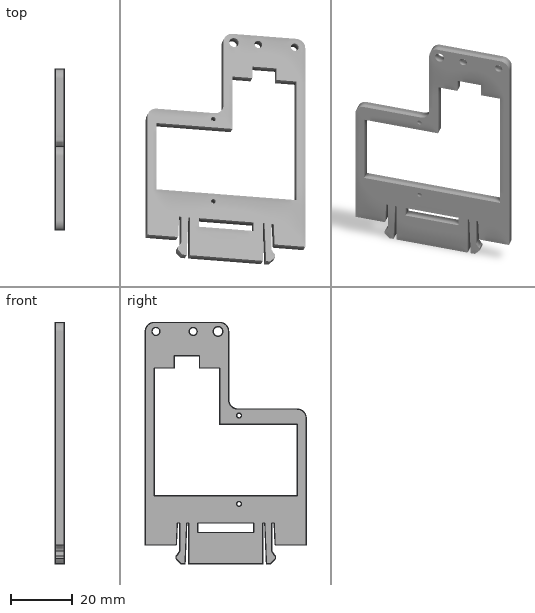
import cadquery as cq

thickness = 3.0
width = 52.0
height = 78.0
half_width = width / 2
frame_wall = 3.0
corner_radius = 3.0

plate_bottom = 6.0
shoulder_z = height - 28.0
tower_width = 27.0
tower_y = tower_width - half_width

window_bottom = 22.0
window_top = height - 14.8
window_shoulder_z = height - 33.0
notch_y = -12.55
notch_width = 8.0
notch_top = height - 10.85

top_hole_z = height - 3.0
large_hole_y = -2.5
large_hole_diameter = 3.05
medium_hole_diameter = 2.5
medium_hole_positions = (-10.5, -22.55)
small_hole_y = 4.3
small_hole_diameter = 1.5
small_hole_heights = (19.35, 47.9)

slot_top = 13.1
tongue_half_width = 12.0
latch_inner_top = 12.55
latch_inner_bottom = 13.1
latch_outer = 14.9
clearance_top = 15.6
clearance_bottom = 15.9
clearance_chamfer = 0.2
barb_tip = 16.1
barb_shoulder_y = 15.6
barb_shoulder_z = 3.0
barb_shoulder_top = 4.1
barb_upper_z = 2.5
barb_lower_z = 1.6
barb_toe = 14.5
tongue_window_width = 18.0
tongue_window_height = 3.0


def extrude(sketch):
    """Extrude a YZ outline through the thickness, centred on X = 0."""
    return sketch.extrude(thickness / 2, both=True)


def prism(points):
    return extrude(cq.Workplane("YZ").polyline(points).close())


def box(y_min, y_max, z_min, z_max):
    return prism([(y_min, z_min), (y_max, z_min), (y_max, z_max), (y_min, z_max)])


def hole(y, z, diameter):
    return extrude(cq.Workplane("YZ").center(y, z).circle(diameter / 2))


def make_plate():
    plate = prism([
        (-half_width, plate_bottom),
        (half_width, plate_bottom),
        (half_width, shoulder_z),
        (tower_y, shoulder_z),
        (tower_y, height),
        (-half_width, height),
    ])
    rounded_corners = cq.selectors.BoxSelector(
        (-thickness, -width, window_shoulder_z), (thickness, width, 2 * height)
    )
    return plate.edges("|X").edges(rounded_corners).fillet(corner_radius)


def make_window():
    window_right = frame_wall - half_width
    step_y = tower_y - frame_wall
    lower = box(window_right, half_width - frame_wall, window_bottom, window_shoulder_z)
    upper = box(window_right, step_y, window_bottom, window_top)
    half_notch = notch_width / 2
    notch = box(notch_y - half_notch, notch_y + half_notch, window_bottom, notch_top)
    return lower.union(upper).union(notch)


def make_latch_opening():
    """Full opening between the tongue and the plate beside it, on the +Y side."""
    return prism([
        (tongue_half_width, plate_bottom),
        (tongue_half_width, slot_top),
        (clearance_top, slot_top),
        (clearance_bottom, plate_bottom + clearance_chamfer),
        (clearance_bottom + clearance_chamfer, plate_bottom),
    ])


def make_latch():
    """Tapered spring arm with a two-slope shoulder above its barb, on the +Y side."""
    return extrude(
        cq.Workplane("YZ")
        .moveTo(latch_inner_top, slot_top)
        .lineTo(latch_outer, slot_top)
        .lineTo(latch_outer, barb_shoulder_top)
        .lineTo(barb_shoulder_y, barb_shoulder_z)
        .lineTo(barb_tip, barb_upper_z)
        .lineTo(barb_tip, barb_lower_z)
        .lineTo(barb_toe, 0)
        .lineTo(latch_inner_bottom, 0)
        .close()
    )


result = make_plate().cut(make_window())

result = result.union(box(-tongue_half_width, tongue_half_width, 0, slot_top))
opening = make_latch_opening()
latch = make_latch()
for cutter in (opening, opening.mirror("XZ")):
    result = result.cut(cutter)
for arm in (latch, latch.mirror("XZ")):
    result = result.union(arm)

half_slot = tongue_window_width / 2
result = result.cut(box(-half_slot, half_slot, slot_top - tongue_window_height, slot_top))

result = result.cut(hole(large_hole_y, top_hole_z, large_hole_diameter))
for y in medium_hole_positions:
    result = result.cut(hole(y, top_hole_z, medium_hole_diameter))
for z in small_hole_heights:
    result = result.cut(hole(small_hole_y, z, small_hole_diameter))